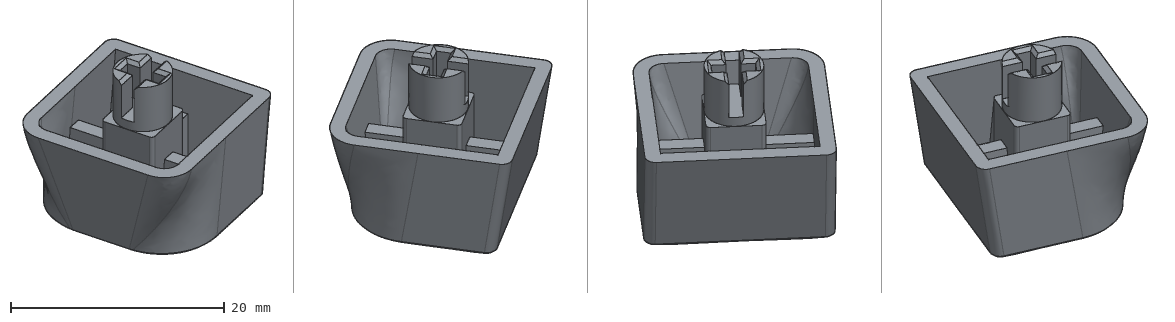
import cadquery as cq
import math

cap_width = 18.0
rim_height = 10.5
wall = 1.5
floor_thickness = 1.4
end_lean = 1.5
bottom_chamfer = 0.3
back_radius = 1.0
rim_radius = 3.0
bottom_radius = 6.0
blend_start_at_rim = 0.15
bottom_turn = 88.0
seam_side_power = 1.5
seam_front_power = 1.3
section_count = 5

stem_top = 15.0
stem_diameter = 5.6
post_width = 5.66
post_corner_radius = 0.4
post_top = 10.0
slot_floor = 11.0
slot_width = 1.4
cross_slot_length = 4.2
slot_chamfer = 0.35
rib_top = 6.4
rib_top_width = 1.5
rib_base_width = 2.38

half_width = cap_width / 2


def bend(start, start_turn, end, end_turn):
    """Control points of a curve between two points with the given headings.

    Headings are in radians, turning from -Y towards +X. The curve is close to
    a circular arc whenever the points and headings belong to one.
    """
    chord = math.dist(start, end)
    handle = chord / (3 * math.cos((end_turn - start_turn) / 4) ** 2)
    leave = (start[0] + handle * math.sin(start_turn), start[1] - handle * math.cos(start_turn))
    arrive = (end[0] - handle * math.sin(end_turn), end[1] + handle * math.cos(end_turn))
    return [start, leave, arrive, end]


def mirrored(points):
    return [(-x, y) for x, y in reversed(points)]


def cap_section(height, inset):
    """Wire of the cap's outline at a height, moved inward by the inset."""
    rise = height / rim_height
    wall_y = half_width - end_lean * (1 - rise)
    side_x = half_width - inset
    end_y = wall_y - inset

    blend_start_at_bottom = bottom_radius - (half_width - end_lean)
    blend_start = blend_start_at_bottom + (blend_start_at_rim - blend_start_at_bottom) * rise
    front_x = half_width - bottom_radius + (bottom_radius - rim_radius) * rise
    bottom_seam_side = bottom_radius * (1 - math.cos(math.radians(bottom_turn)))
    bottom_seam_front = bottom_radius * (1 - math.sin(math.radians(bottom_turn)))
    seam_side = bottom_seam_side * (1 - rise) ** seam_side_power
    seam_front = bottom_seam_front + (rim_radius - bottom_seam_front) * rise ** seam_front_power
    turn = 2 * math.atan2(seam_side, blend_start + wall_y - seam_front)
    seam = (
        -half_width + seam_side + inset * math.cos(turn),
        -wall_y + seam_front + inset * math.sin(turn),
    )
    lower = bend((-side_x, blend_start), 0, seam, turn)
    upper = bend(seam, turn, (-front_x, -end_y), math.pi / 2)

    outline = (
        cq.Workplane("XY", origin=(0, 0, height))
        .moveTo(*lower[0])
        .bezier(lower)
        .bezier(upper)
        .lineTo(front_x, -end_y)
        .bezier(mirrored(upper))
        .bezier(mirrored(lower))
    )
    radius = back_radius - inset
    if radius > 0:
        outline = (
            outline.lineTo(side_x, end_y - radius)
            .radiusArc((side_x - radius, end_y), -radius)
            .lineTo(-side_x + radius, end_y)
            .radiusArc((-side_x, end_y - radius), -radius)
        )
    else:
        outline = outline.lineTo(side_x, end_y).lineTo(-side_x, end_y)
    return outline.close().val()


def cap_loft(bottom, inset):
    step = (rim_height - bottom) / (section_count - 1)
    sections = [cap_section(bottom + i * step, inset) for i in range(section_count)]
    return cq.Workplane(cq.Solid.makeLoft(sections))


def make_cap():
    outside = cap_loft(0, 0).faces("<Z").chamfer(bottom_chamfer)
    return outside.cut(make_cavity())


def make_cavity():
    return cap_loft(floor_thickness, wall)


def make_rib(angle):
    """Tapered rib running across the whole cavity."""
    height = rib_top - floor_thickness
    half_base = rib_base_width / 2
    half_top = rib_top_width / 2
    return (
        cq.Workplane("YZ", origin=(-half_width, 0, floor_thickness))
        .polyline([(-half_base, 0), (half_base, 0), (half_top, height), (-half_top, height)])
        .close()
        .extrude(cap_width)
        .rotate((0, 0, 0), (0, 0, 1), angle)
    )


def make_slot(length, width):
    """Slot with its mouth widened by a chamfer at the top of the stem."""
    slot = (
        cq.Workplane("XY", origin=(0, 0, slot_floor))
        .rect(length, width)
        .extrude(stem_top - slot_floor)
    )
    mouth = (
        cq.Workplane("XY", origin=(0, 0, stem_top - slot_chamfer))
        .rect(length, width)
        .workplane(offset=slot_chamfer)
        .rect(length + 2 * slot_chamfer, width + 2 * slot_chamfer)
        .loft(ruled=True)
    )
    return slot.union(mouth)


def make_stem():
    ribs = make_rib(0).union(make_rib(90)).intersect(make_cavity())
    post = (
        cq.Workplane("XY", origin=(0, 0, floor_thickness))
        .rect(post_width, post_width)
        .extrude(post_top - floor_thickness)
        .edges("|Z")
        .fillet(post_corner_radius)
    )
    cylinder = (
        cq.Workplane("XY", origin=(0, 0, post_top))
        .circle(stem_diameter / 2)
        .extrude(stem_top - post_top)
        .cut(make_slot(cross_slot_length, slot_width))
        .cut(make_slot(slot_width, 2 * stem_diameter))
    )
    return ribs.union(post).union(cylinder)


cap = make_cap()
stem = make_stem()
result = cq.Compound.makeCompound([cap.val(), stem.val()])